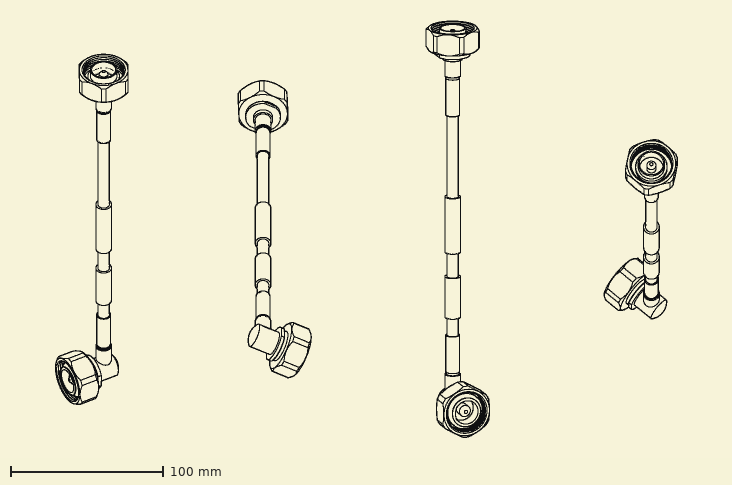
import cadquery as cq
import math

nut_across_flats = 32.0
straight_nut_corner_diameter = 35.3
elbow_nut_corner_diameter = 35.0
nut_length = 14.5
nut_edge_chamfer = 1.6
nut_bore_radius = 13.5
nut_bore_depth = 8.8
thread_depth = 0.8
thread_pitch = 1.5
thread_turns = 4

tube_inner_radius = 8.0
tube_floor_depth = 9.5
straight_tube_radius = 8.8
straight_tube_base_radius = 10.5
straight_tube_wall = 5.5
elbow_tube_radius = 9.8
elbow_tube_base_radius = 12.0
elbow_tube_wall = 0.5
elbow_tube_taper = 2.7
straight_pin_radius = 3.0
elbow_pin_radius = 3.8
pin_tip_radius = 1.0
pin_cone_length = 2.2
pin_recess = 1.5

neck_radius = 10.5
straight_neck_length = 1.5
elbow_neck_length = 2.5
flange_across_flats = 21.3
flange_radius = 11.5
flange_thickness = 2.5

cable_radius = 3.8
ferrule_radius = 5.2
boot_radius = 4.7
boot_length = 25.2
boot_neck_radius = 4.5
boot_neck_length = 1.6

part_height = 273.5
straight_face_z = part_height - elbow_nut_corner_diameter / 2
collar_radius = 6.3
collar_length = 3.0
straight_ferrule_length = 11.5

part_depth = 45.0
elbow_face_y = straight_nut_corner_diameter / 2 - part_depth
elbow_body_radius = 8.0
elbow_dome_base_y = 6.5
elbow_dome_height = 3.0
elbow_ferrule_top = 18.5

straight_collar_top = straight_face_z - nut_length - straight_neck_length - flange_thickness
straight_ferrule_top = straight_collar_top - collar_length
straight_ferrule_bottom = straight_ferrule_top - straight_ferrule_length
straight_boot_bottom = straight_ferrule_bottom - boot_neck_length - boot_length

sleeve_radius = 5.2
upper_sleeve = (102.3, 38.0)
lower_sleeve = (57.7, 28.0)


def rod(radius, bottom, length):
    """Upright cylinder on the Z axis."""
    return cq.Workplane("XY").workplane(offset=bottom).circle(radius).extrude(length)


def hexagon(across_flats, bottom, length):
    """Upright hexagonal prism on the Z axis, with two flats facing +X and -X."""
    corner_diameter = across_flats / math.cos(math.pi / 6)
    prism = cq.Workplane("XY").workplane(offset=bottom).polygon(6, corner_diameter).extrude(length)
    return prism.rotate((0, 0, 0), (0, 0, 1), 30)


def turned(points):
    """Solid of revolution about Z from (radius, height) points."""
    return cq.Workplane("XZ").polyline(points).close().revolve(360, (0, 0, 0), (0, 1, 0))


def coupling_nut(corner_diameter):
    blank = rod(corner_diameter / 2, -nut_length, nut_length).edges().chamfer(nut_edge_chamfer)
    nut = blank.intersect(hexagon(nut_across_flats, -nut_length, nut_length))
    return nut.cut(threaded_bore())


def threaded_bore():
    """Bore with a chamfered mouth and evenly spaced V-shaped thread rings."""
    root_radius = nut_bore_radius + thread_depth
    outline = [(0, 0), (root_radius, 0)]
    for turn in range(thread_turns):
        crest_height = -(turn + 0.5) * thread_pitch
        outline.append((nut_bore_radius, crest_height))
        outline.append((root_radius, crest_height - thread_pitch / 2))
    thread_end = -(thread_turns + 0.5) * thread_pitch
    outline += [
        (nut_bore_radius, thread_end),
        (nut_bore_radius, -nut_bore_depth),
        (0, -nut_bore_depth),
    ]
    return turned(outline)


def contact_tube(tip_radius, base_radius, wall_length, taper_length):
    """Tube that widens from its tip to its base; a zero taper makes a square step."""
    return turned([
        (tube_inner_radius, 0),
        (tip_radius, 0),
        (tip_radius, -wall_length),
        (base_radius, -wall_length - taper_length),
        (base_radius, -nut_bore_depth),
        (tube_inner_radius, -nut_bore_depth),
    ])


def centre_pin(radius):
    tip = -pin_recess
    return turned([
        (0, tip),
        (pin_tip_radius, tip),
        (radius, tip - pin_cone_length),
        (radius, -tube_floor_depth),
        (0, -tube_floor_depth),
    ])


def flatted_flange(bottom):
    """Round flange with one flat facing +X and one facing -X."""
    disc = rod(flange_radius, bottom, flange_thickness)
    flats = cq.Workplane("XY").workplane(offset=bottom)
    flats = flats.rect(flange_across_flats, 2 * flange_radius).extrude(flange_thickness)
    return disc.intersect(flats)


def connector_head(nut, tube, pin, neck_length):
    """Nut, contacts, neck and flange, facing +Z with the mating face at Z = 0."""
    neck_bottom = -nut_length - neck_length
    socket = rod(tube_inner_radius, -tube_floor_depth, tube_floor_depth)
    return (
        nut
        .union(tube)
        .cut(socket)
        .union(pin)
        .union(rod(neck_radius, neck_bottom, neck_length))
        .union(flatted_flange(neck_bottom - flange_thickness))
    )


def straight_connector(cable_body):
    """Head facing +Z, with the collar, ferrule and boot hanging below it."""
    head = connector_head(
        coupling_nut(straight_nut_corner_diameter),
        contact_tube(straight_tube_radius, straight_tube_base_radius, straight_tube_wall, 0),
        centre_pin(straight_pin_radius),
        straight_neck_length,
    )
    boot_top = straight_boot_bottom + boot_length
    connector = (
        head.translate((0, 0, straight_face_z))
        .union(rod(collar_radius, straight_ferrule_top, collar_length))
        .union(rod(ferrule_radius, straight_ferrule_bottom, straight_ferrule_length))
        .union(rod(boot_neck_radius, boot_top, boot_neck_length))
        .union(rod(boot_radius, straight_boot_bottom, boot_length))
    )
    return connector.cut(cable_body)


def elbow_body():
    """Round body along the connector axis, closed at the back by a shallow dome."""
    front_y = elbow_face_y + nut_length + elbow_neck_length + flange_thickness
    dome_tip_y = elbow_dome_base_y + elbow_dome_height
    dome_sphere_radius = (elbow_body_radius**2 + elbow_dome_height**2) / (2 * elbow_dome_height)
    half_angle = math.asin(elbow_body_radius / dome_sphere_radius) / 2
    dome_middle = (
        dome_sphere_radius * math.sin(half_angle),
        dome_tip_y - dome_sphere_radius * (1 - math.cos(half_angle)),
    )
    return (
        cq.Workplane("XY")
        .moveTo(0, front_y)
        .lineTo(elbow_body_radius, front_y)
        .lineTo(elbow_body_radius, elbow_dome_base_y)
        .threePointArc(dome_middle, (0, dome_tip_y))
        .close()
        .revolve(360, (0, 0, 0), (0, 1, 0))
    )


def elbow_connector(cable_body):
    """Head facing -Y on the elbow body, with the ferrule and boot rising from it."""
    head = connector_head(
        coupling_nut(elbow_nut_corner_diameter),
        contact_tube(elbow_tube_radius, elbow_tube_base_radius, elbow_tube_wall, elbow_tube_taper),
        centre_pin(elbow_pin_radius),
        elbow_neck_length,
    )
    boot_bottom = elbow_ferrule_top + boot_neck_length
    connector = (
        head.rotate((0, 0, 0), (1, 0, 0), 90).translate((0, elbow_face_y, 0))
        .union(elbow_body())
        .union(rod(ferrule_radius, 0, elbow_ferrule_top))
        .union(rod(boot_neck_radius, elbow_ferrule_top, boot_neck_length))
        .union(rod(boot_radius, boot_bottom, boot_length))
    )
    return connector.cut(cable_body)


def cable():
    """Cable from ferrule to ferrule."""
    return rod(cable_radius, elbow_ferrule_top, straight_ferrule_bottom - elbow_ferrule_top)


def marker_sleeve(bottom, length):
    return rod(sleeve_radius, bottom, length).cut(rod(cable_radius, bottom, length))


cable_body = cable()
sleeves = [marker_sleeve(bottom, length) for bottom, length in (upper_sleeve, lower_sleeve)]

result = cq.Compound.makeCompound([
    straight_connector(cable_body).val(),
    elbow_connector(cable_body).val(),
    cable_body.val(),
    *[sleeve.val() for sleeve in sleeves],
])